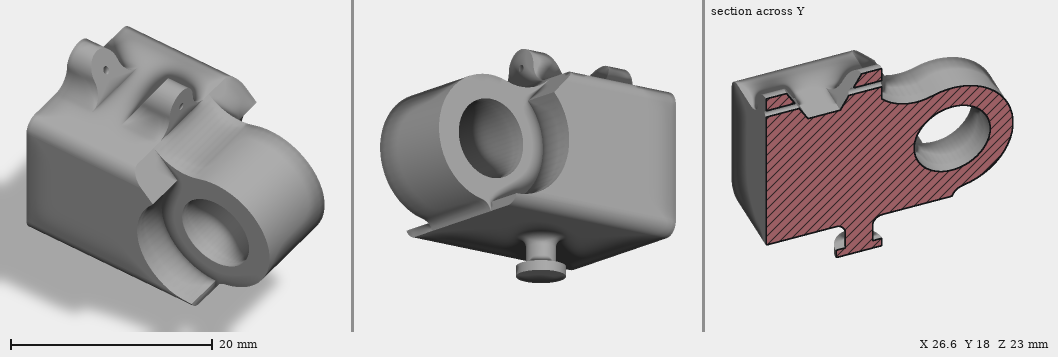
import cadquery as cq
import math

BODY_WIDTH = 18.0
BODY_HEIGHT = 15.0
EDGE_RADIUS = 1.5
BODY_TOP_LENGTH = 12.5

RING_DIAMETER = 13.13
RING_RADIUS = RING_DIAMETER / 2
RING_BORE = 8.13
RING_WIDTH = 9.5
RING_X = 26.57 - RING_RADIUS
RING_Z = BODY_HEIGHT / 2
TOP_CORNER_DISTANCE = math.hypot(RING_X - BODY_TOP_LENGTH, BODY_HEIGHT - RING_Z)
TOP_BLEND_RADIUS = (TOP_CORNER_DISTANCE**2 - RING_RADIUS**2) / RING_DIAMETER
BOTTOM_BLEND_RADIUS = 1.5

LUG_RADIUS = 2.0
LUG_FOOT_RADIUS = 2.0
LUG_HOLE = 0.75
LUG_BASE_LENGTH = 4.52
LUG_SLOPE = math.radians(60)
LUG_HEIGHT = 2 * LUG_RADIUS
LUG_TOP_LENGTH = LUG_BASE_LENGTH - LUG_HEIGHT / math.tan(LUG_SLOPE)
LUG_TOP_Z = BODY_HEIGHT + LUG_HEIGHT

PIN_X = 10.0
PIN_RADIUS = 3.0 / 2
PIN_LENGTH = 23.0 - LUG_TOP_Z
PIN_FILLET = 1.0
FLANGE_RADIUS = 5.0 / 2
FLANGE_THICKNESS = 1.0


def extrude_across(profile, width):
    """Extrude a closed XZ profile by a width centred on Y = 0."""
    return profile.extrude(width).translate((0, width / 2, 0))


def ring_cylinder(diameter, width):
    profile = cq.Workplane("XZ").center(RING_X, RING_Z).circle(diameter / 2)
    return extrude_across(profile, width)


def blend_web(corner, radius, side):
    """Web from the ring centre to a corner, with a concave arc tangent to the ring.

    The side is +1 or -1: the turn from the corner direction to the arc centre.
    """
    dx = corner[0] - RING_X
    dz = corner[1] - RING_Z
    corner_distance = math.hypot(dx, dz)
    centre_distance = RING_RADIUS + radius
    cosine = (corner_distance**2 + centre_distance**2 - radius**2) / (2 * corner_distance * centre_distance)
    angle = math.atan2(dz, dx) + side * math.acos(cosine)
    arc_x = RING_X + centre_distance * math.cos(angle)
    arc_z = RING_Z + centre_distance * math.sin(angle)
    tangent = (RING_X + RING_RADIUS * math.cos(angle), RING_Z + RING_RADIUS * math.sin(angle))
    chord_x = (corner[0] + tangent[0]) / 2 - arc_x
    chord_z = (corner[1] + tangent[1]) / 2 - arc_z
    reach = radius / math.hypot(chord_x, chord_z)
    middle = (arc_x + reach * chord_x, arc_z + reach * chord_z)
    profile = (
        cq.Workplane("XZ")
        .moveTo(RING_X, RING_Z)
        .lineTo(*corner)
        .threePointArc(middle, tangent)
        .close()
    )
    return extrude_across(profile, RING_WIDTH)


def make_body():
    block = (
        cq.Workplane("XY")
        .box(RING_X, BODY_WIDTH, BODY_HEIGHT, centered=(False, True, False))
        .edges("|X")
        .fillet(EDGE_RADIUS)
    )
    end_profile = cq.Workplane("XZ").polyline(
        [(BODY_TOP_LENGTH, BODY_HEIGHT), (RING_X, BODY_HEIGHT), (RING_X, RING_Z)]
    ).close()
    return block.cut(extrude_across(end_profile, BODY_WIDTH)).cut(ring_cylinder(RING_DIAMETER, BODY_WIDTH))


def make_lugs():
    axis_z = BODY_HEIGHT + LUG_RADIUS
    sunk_z = BODY_HEIGHT - EDGE_RADIUS / 2
    foot = LUG_RADIUS + LUG_FOOT_RADIUS
    bend = LUG_FOOT_RADIUS * math.sqrt(0.5)
    rail = (
        cq.Workplane("YZ")
        .moveTo(-foot, BODY_HEIGHT)
        .threePointArc((-foot + bend, axis_z - bend), (-LUG_RADIUS, axis_z))
        .threePointArc((0, LUG_TOP_Z), (LUG_RADIUS, axis_z))
        .threePointArc((foot - bend, axis_z - bend), (foot, BODY_HEIGHT))
        .lineTo(foot, sunk_z)
        .lineTo(-foot, sunk_z)
        .close()
        .extrude(BODY_TOP_LENGTH)
    )
    hole = cq.Workplane("YZ").center(0, axis_z).circle(LUG_HOLE / 2).extrude(BODY_TOP_LENGTH)
    gap = cq.Workplane("XZ").polyline([
        (LUG_BASE_LENGTH, BODY_HEIGHT),
        (LUG_TOP_LENGTH, LUG_TOP_Z),
        (BODY_TOP_LENGTH - LUG_TOP_LENGTH, LUG_TOP_Z),
        (BODY_TOP_LENGTH - LUG_BASE_LENGTH, BODY_HEIGHT),
    ]).close()
    return rail.cut(hole).cut(extrude_across(gap, 2 * foot))


def make_pin():
    bend = PIN_FILLET * (1 - math.sqrt(0.5))
    flange_top = FLANGE_THICKNESS - PIN_LENGTH
    root_z = EDGE_RADIUS / 2
    return (
        cq.Workplane("XZ", origin=(PIN_X, 0, 0))
        .moveTo(0, root_z)
        .lineTo(PIN_RADIUS + PIN_FILLET, root_z)
        .lineTo(PIN_RADIUS + PIN_FILLET, 0)
        .threePointArc((PIN_RADIUS + bend, -bend), (PIN_RADIUS, -PIN_FILLET))
        .lineTo(PIN_RADIUS, flange_top)
        .lineTo(FLANGE_RADIUS, flange_top)
        .lineTo(FLANGE_RADIUS, -PIN_LENGTH)
        .lineTo(0, -PIN_LENGTH)
        .close()
        .revolve(360, (0, 0, 0), (0, 1, 0))
    )


def make_ring():
    top_web = blend_web((BODY_TOP_LENGTH, BODY_HEIGHT), TOP_BLEND_RADIUS, -1)
    bottom_web = blend_web((RING_X, 0), BOTTOM_BLEND_RADIUS, 1)
    return ring_cylinder(RING_DIAMETER, RING_WIDTH).union(top_web).union(bottom_web)


bore = ring_cylinder(RING_BORE, BODY_WIDTH)
result = make_body().union(make_ring()).union(make_lugs()).union(make_pin()).cut(bore)